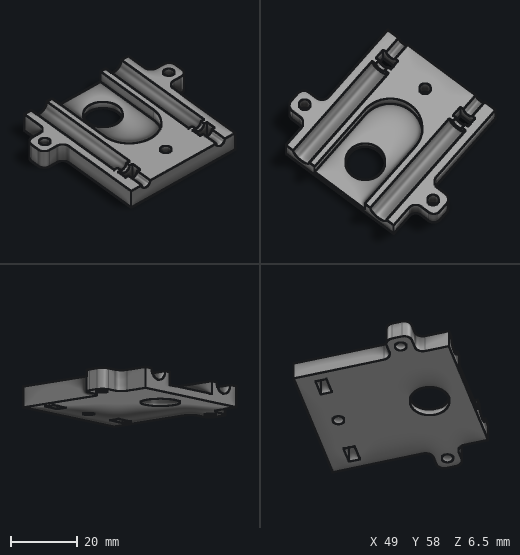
import cadquery as cq

plate_length = 49.0
plate_width = 42.0
thickness = 6.5
overall_width = 58.0

tab_x = 14.0
tab_width = 8.0
tab_radius = 2.5
tab_reach = (overall_width - plate_width) / 2
tab_hole_y = overall_width / 2 - tab_reach / 2
screw_diameter = 3.5

channel_y = 15.0
wide_radius = 3.15
wide_length = 38.0
narrow_radius = 1.75
slot_start = 39.5
slot_length = 3.5
slot_width = 5.8

pocket_width = 19.5
pocket_end = 34.0
pocket_depth = 4.0
large_hole_x = 12.25
large_hole_diameter = 12.0
center_hole_x = 41.0


def make_body():
    plate = cq.Workplane("XY").box(plate_length, plate_width, thickness, centered=(False, True, False))
    tabs = (
        cq.Workplane("XY")
        .center(tab_x, 0)
        .rect(tab_width, overall_width)
        .extrude(thickness)
        .edges("|Z")
        .fillet(tab_radius)
    )
    body = plate.union(tabs)
    for side in (-1, 1):
        for edge in (-1, 1):
            corner = cq.Vector(tab_x + edge * tab_width / 2, side * plate_width / 2, thickness / 2)
            body = body.edges(cq.selectors.NearestToPointSelector(corner)).fillet(tab_radius)
    return body


def groove(y, radius, length):
    return cq.Workplane("YZ").center(y, thickness).circle(radius).extrude(length)


def through_hole(x, y, diameter):
    return cq.Workplane("XY").center(x, y).circle(diameter / 2).extrude(thickness)


def pocket():
    radius = pocket_width / 2
    straight_length = pocket_end - radius
    return (
        cq.Workplane("XY", origin=(0, 0, thickness - pocket_depth))
        .moveTo(0, -radius)
        .lineTo(straight_length, -radius)
        .threePointArc((pocket_end, 0), (straight_length, radius))
        .lineTo(0, radius)
        .close()
        .extrude(pocket_depth)
    )


result = make_body()
result = result.cut(pocket())
result = result.cut(through_hole(large_hole_x, 0, large_hole_diameter))
result = result.cut(through_hole(center_hole_x, 0, screw_diameter))

for side in (-1, 1):
    y = side * channel_y
    slot = cq.Workplane("XY").center(slot_start + slot_length / 2, y).rect(slot_length, slot_width)
    result = result.cut(groove(y, wide_radius, wide_length))
    result = result.cut(groove(y, narrow_radius, plate_length))
    result = result.cut(slot.extrude(thickness))
    result = result.cut(through_hole(tab_x, side * tab_hole_y, screw_diameter))